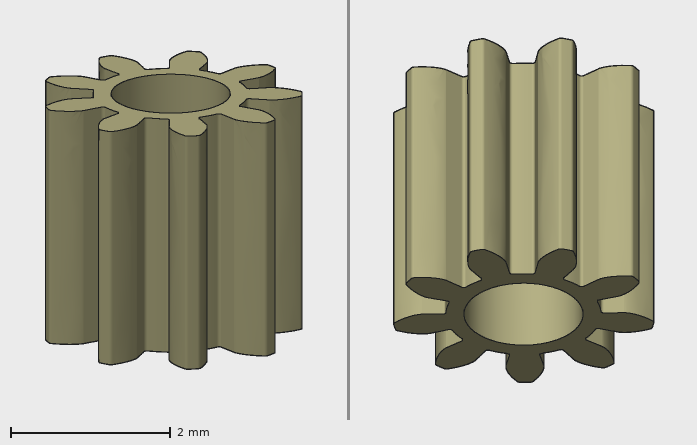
import cadquery as cq
import math

TOOTH_COUNT = 9
PITCH_RADIUS = 1.35
PRESSURE_ANGLE = math.radians(20)
LENGTH = 3.1
BORE_RADIUS = 0.75
ROOT_FILLET = 0.04
TIP_FILLET = 0.052
FIRST_TOOTH_ANGLE = 10.8

DEDENDUM_FACTOR = 1.25
MODULE = 2 * PITCH_RADIUS / TOOTH_COUNT
TIP_RADIUS = PITCH_RADIUS + MODULE
ROOT_RADIUS = PITCH_RADIUS - DEDENDUM_FACTOR * MODULE
BASE_RADIUS = PITCH_RADIUS * math.cos(PRESSURE_ANGLE)

SPACING_ANGLE = 2 * math.pi / TOOTH_COUNT
BASE_HALF_ANGLE = SPACING_ANGLE / 4 + math.tan(PRESSURE_ANGLE) - PRESSURE_ANGLE

INVOLUTE_POINTS = 8
HUB_OVERLAP = 0.033


def polar(radius, angle):
    return (radius * math.cos(angle), radius * math.sin(angle))


def mirrored(point):
    """Reflect a point across the tooth centreline, which lies along +X."""
    return (point[0], -point[1])


def involute_points():
    """Points of the upper tooth face, from the base circle to the tip circle."""
    end_roll = math.sqrt((TIP_RADIUS / BASE_RADIUS) ** 2 - 1)
    points = []
    for index in range(INVOLUTE_POINTS):
        roll = end_roll * index / (INVOLUTE_POINTS - 1)
        radius = BASE_RADIUS * math.sqrt(1 + roll**2)
        points.append(polar(radius, BASE_HALF_ANGLE - (roll - math.atan(roll))))
    return points


def make_tooth():
    """Tooth along +X: radial flanks, involute faces and a rounded tip."""
    upper_face = involute_points()
    lower_face = [mirrored(point) for point in reversed(upper_face)]
    flank_start = polar(ROOT_RADIUS - HUB_OVERLAP, BASE_HALF_ANGLE)
    tooth = (
        cq.Workplane("XY")
        .moveTo(*flank_start)
        .lineTo(*upper_face[0])
        .spline(upper_face[1:], includeCurrent=True)
        .threePointArc((TIP_RADIUS, 0), lower_face[0])
        .spline(lower_face[1:], includeCurrent=True)
        .lineTo(*mirrored(flank_start))
        .close()
        .extrude(LENGTH)
    )
    return tooth.edges("|Z").edges(">X").fillet(TIP_FILLET)


pinion = cq.Workplane("XY").circle(ROOT_RADIUS).extrude(LENGTH)
tooth = make_tooth()
for index in range(TOOTH_COUNT):
    angle = FIRST_TOOTH_ANGLE + index * 360 / TOOTH_COUNT
    pinion = pinion.union(tooth.rotate((0, 0, 0), (0, 0, 1), angle))

root_edge_limit = (ROOT_RADIUS + BASE_RADIUS) / 2
root_edges = [
    edge for edge in pinion.edges("|Z").vals()
    if math.hypot(edge.Center().x, edge.Center().y) < root_edge_limit
]
pinion = pinion.newObject(root_edges).fillet(ROOT_FILLET)

bore = cq.Workplane("XY").circle(BORE_RADIUS).extrude(LENGTH)
result = pinion.cut(bore)